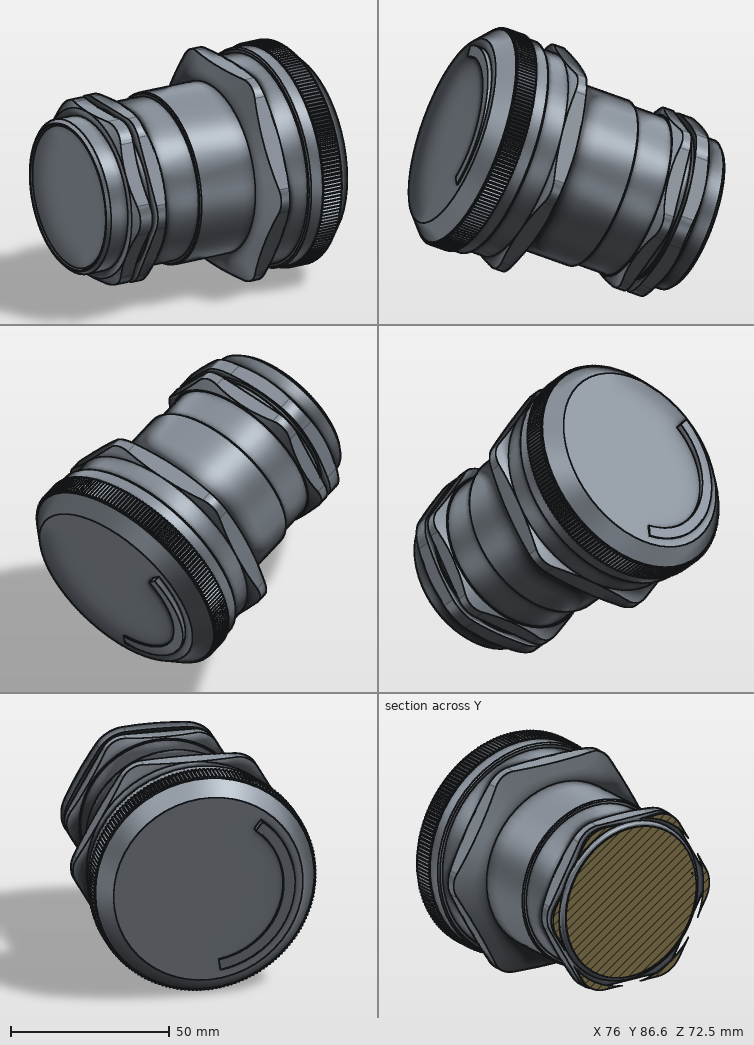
import cadquery as cq
import math


nose_radius = 25.0
nose_chamfer = 1.1
recess_radius = 23.5
recess_depth = 0.5

small_flats = 55.0
front_nut_start = 7.2
front_nut_end = 13.8
front_nut_corner = 9.95
front_cup_angle = 20
back_nut_start = 15.1
back_nut_end = 20.2
back_nut_corner = 8.05
back_nut_face_radius = 27.0
nut_bevel_angle = 31
seal_section_radius = 1.3
seal_squeeze = 0.1

rear_neck_radius = 26.5
neck_radius = rear_neck_radius - seal_section_radius
barrel_radius = 27.8
barrel_start = 32.3
barrel_chamfer = 0.4

flange_flats = 68.0
flange_start = 52.4
flange_end = 60.4
flange_corner = 8.0
flange_bevel_angle = 19

collar_radius = flange_flats / 2
ring_radius = 35.5
ring_start = 67.9
ring_chamfer = 0.5
knurl_start = 72.55
knurl_diameter = 72.5
knurl_radius = knurl_diameter / 2
knurl_depth = 0.7
knurl_count = 180
knurl_front_chamfer = 0.3
cap_end = 84.4
cap_end_radius = 30.7

total_length = 86.6
arc_outer_radius = 27.9
arc_inner_radius = 24.2
arc_first_angle = 128
arc_last_angle = 262
arc_low_height = 0.35


def bevel(run, angle):
    """Axial rise of a cone of the given angle over a radial run."""
    return run * math.tan(math.radians(angle))


def revolve_profile(points):
    """Turn (radius, y) points about the Y axis."""
    return cq.Workplane("XY").polyline(points).close().revolve(360, (0, 0, 0), (0, 1, 0))


def hex_prism(flats, corner_radius, start, end):
    """Hexagon with rounded corners, corners on the X axis."""
    across_corners = flats / math.cos(math.pi / 6)
    prism = cq.Workplane("XZ", origin=(0, start, 0)).polygon(6, across_corners).extrude(start - end)
    return prism.edges("|Y").fillet(corner_radius)


def turned_body():
    """Everything round, from the recessed nose to the end face of the cap."""
    cap_cone_start = cap_end - (ring_radius - cap_end_radius)
    points = [
        (0, recess_depth),
        (recess_radius - recess_depth, recess_depth),
        (recess_radius, 0),
        (nose_radius - nose_chamfer, 0),
        (nose_radius, nose_chamfer),
        (nose_radius, front_nut_start),
        (neck_radius, front_nut_start),
        (neck_radius, back_nut_start),
        (rear_neck_radius, back_nut_start),
        (rear_neck_radius, barrel_start),
        (barrel_radius - barrel_chamfer, barrel_start),
        (barrel_radius, barrel_start + barrel_chamfer),
        (barrel_radius, flange_start),
        (collar_radius, flange_end),
        (collar_radius, ring_start),
        (ring_radius - ring_chamfer, ring_start),
        (ring_radius, ring_start + ring_chamfer),
        (ring_radius, cap_cone_start),
        (cap_end_radius, cap_end),
        (0, cap_end),
    ]
    return revolve_profile(points)


def sealing_ring():
    """Rounded outer half of an O-ring, squeezed against the backing nut."""
    back_y = back_nut_start + seal_squeeze
    centre_y = back_y - seal_section_radius
    front_y = centre_y - seal_section_radius
    section = (
        cq.Workplane("XY")
        .moveTo(neck_radius, front_y)
        .threePointArc((rear_neck_radius, centre_y), (neck_radius, back_y))
        .close()
    )
    return section.revolve(360, (0, 0, 0), (0, 1, 0))


def front_nut():
    """Beveled in front, with a conical cup in its back face."""
    inscribed = small_flats / 2
    outer = small_flats / math.sqrt(3)
    run = outer - inscribed
    cup_bottom = front_nut_end - bevel(outer - neck_radius, front_cup_angle)
    envelope = revolve_profile([
        (0, front_nut_start),
        (inscribed, front_nut_start),
        (outer, front_nut_start + bevel(run, nut_bevel_angle)),
        (outer, front_nut_end),
        (neck_radius, cup_bottom),
        (0, cup_bottom),
    ])
    return hex_prism(small_flats, front_nut_corner, front_nut_start, front_nut_end).intersect(envelope)


def back_nut():
    """Flat in front and beveled at the back."""
    outer = small_flats / math.sqrt(3)
    envelope = revolve_profile([
        (0, back_nut_start),
        (outer, back_nut_start),
        (outer, back_nut_end - bevel(outer - back_nut_face_radius, nut_bevel_angle)),
        (back_nut_face_radius, back_nut_end),
        (0, back_nut_end),
    ])
    return hex_prism(small_flats, back_nut_corner, back_nut_start, back_nut_end).intersect(envelope)


def hex_flange():
    """A cone rises from the barrel to the flats and falls back to the collar."""
    outer = flange_flats / math.sqrt(3)
    envelope = revolve_profile([
        (0, flange_start),
        (barrel_radius, flange_start),
        (outer, flange_start + bevel(outer - barrel_radius, flange_bevel_angle)),
        (outer, flange_end - bevel(outer - collar_radius, flange_bevel_angle)),
        (collar_radius, flange_end),
        (0, flange_end),
    ])
    return hex_prism(flange_flats, flange_corner, flange_start, flange_end).intersect(envelope)


def knurled_ring():
    """Straight V-shaped teeth, trimmed by the cap's cone and a small front chamfer."""
    teeth = []
    for step in range(2 * knurl_count):
        radius = knurl_radius - knurl_depth * (step % 2)
        angle = math.pi / 2 + step * math.pi / knurl_count
        teeth.append((radius * math.cos(angle), radius * math.sin(angle)))
    cone_end = cap_end - (knurl_radius - knurl_depth - cap_end_radius)
    ring = cq.Workplane("XZ", origin=(0, knurl_start, 0)).polyline(teeth).close()
    ring = ring.extrude(knurl_start - cone_end)
    envelope = revolve_profile([
        (0, knurl_start),
        (knurl_radius - knurl_front_chamfer, knurl_start),
        (knurl_radius, knurl_start + knurl_front_chamfer),
        (knurl_radius, cone_end - knurl_depth),
        (knurl_radius - knurl_depth, cone_end),
        (0, cone_end),
    ])
    return ring.intersect(envelope)


def raised_arc():
    """Curved band whose top slopes up toward +Z and reaches the total length."""
    def at(radius, angle):
        return (radius * math.cos(math.radians(angle)), radius * math.sin(math.radians(angle)))

    mid_angle = (arc_first_angle + arc_last_angle) / 2
    band = (
        cq.Workplane("XZ", origin=(0, cap_end, 0))
        .moveTo(*at(arc_outer_radius, arc_first_angle))
        .threePointArc(at(arc_outer_radius, mid_angle), at(arc_outer_radius, arc_last_angle))
        .lineTo(*at(arc_inner_radius, arc_last_angle))
        .threePointArc(at(arc_inner_radius, mid_angle), at(arc_inner_radius, arc_first_angle))
        .close()
        .extrude(cap_end - total_length)
    )
    top_z = at(arc_outer_radius, arc_first_angle)[1]
    bottom_z = -arc_outer_radius
    wedge = (
        cq.Workplane("YZ")
        .polyline([
            (cap_end, bottom_z),
            (cap_end + arc_low_height, bottom_z),
            (total_length, top_z),
            (cap_end, top_z),
        ])
        .close()
        .extrude(arc_outer_radius, both=True)
    )
    return band.intersect(wedge)


result = turned_body()
for feature in (sealing_ring, front_nut, back_nut, hex_flange, knurled_ring, raised_arc):
    result = result.union(feature())